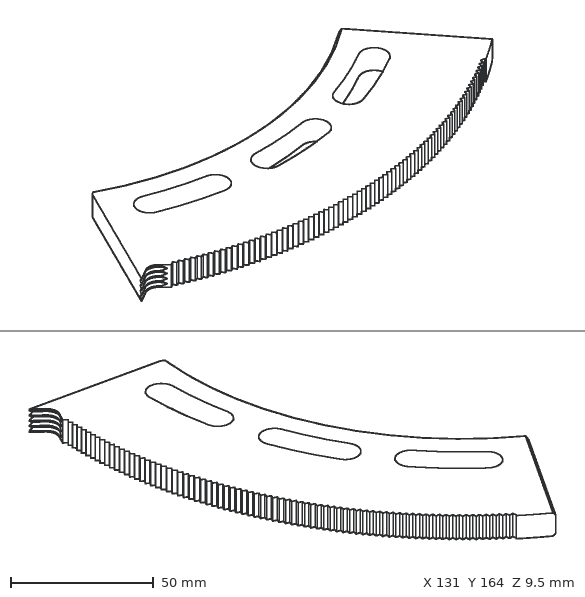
import cadquery as cq
import math

thickness = 9.5
sector_angle = 65.0
outer_radius = 181.0
inner_radius = 127.0
corner_radius = 3.0
edge_chamfer = 1.0

slot_width = 11.2
slot_path_radius = 142.4
slot_span = 10.7
slot_pitch = 20.2
slot_count = 3

tooth_count = 76
tooth_start = 4.0
tooth_end = 60.6
tooth_depth = 1.1
crest_drop = 0.5

throat_radius = 4.8
throat_x = 183.5
throat_y = 7.0
flank_slope = 32.0

groove_count = 4
groove_pitch = 2.1
groove_width = 2.0
groove_depth = 0.74


def polar(radius, degrees, centre=(0, 0)):
    angle = math.radians(degrees)
    return (centre[0] + radius * math.cos(angle), centre[1] + radius * math.sin(angle))


throat_centre = (throat_x, throat_y)
first_crest = polar(outer_radius, tooth_start)
crest_dx = first_crest[0] - throat_x
crest_dy = first_crest[1] - throat_y
crest_bearing = math.degrees(math.atan2(crest_dy, crest_dx))
tangent_turn = math.degrees(math.acos(throat_radius / math.hypot(crest_dx, crest_dy)))
throat_top_angle = crest_bearing + tangent_turn
throat_end_angle = 270.0 - flank_slope
throat_top = polar(throat_radius, throat_top_angle, throat_centre)
throat_middle = polar(throat_radius, (throat_top_angle + throat_end_angle) / 2, throat_centre)
throat_end = polar(throat_radius, throat_end_angle, throat_centre)
flank_length = throat_end[1] / math.sin(math.radians(flank_slope))
hook_tip = polar(flank_length, -flank_slope, throat_end)


def sector_plate():
    crest_radius = outer_radius - crest_drop
    tooth_step = (tooth_end - tooth_start) / tooth_count
    outline = (
        cq.Workplane("XY")
        .moveTo(inner_radius, 0)
        .lineTo(*hook_tip)
        .lineTo(*throat_end)
        .threePointArc(throat_middle, throat_top)
        .lineTo(*first_crest)
    )
    for tooth in range(tooth_count):
        root_angle = tooth_start + (tooth + 0.5) * tooth_step
        crest_angle = tooth_start + (tooth + 1) * tooth_step
        outline = outline.lineTo(*polar(crest_radius - tooth_depth, root_angle))
        outline = outline.lineTo(*polar(crest_radius, crest_angle))
    return (
        outline
        .lineTo(*polar(outer_radius, tooth_end))
        .threePointArc(
            polar(outer_radius, (tooth_end + sector_angle) / 2),
            polar(outer_radius, sector_angle),
        )
        .lineTo(*polar(inner_radius, sector_angle))
        .threePointArc(polar(inner_radius, sector_angle / 2), (inner_radius, 0))
        .close()
        .extrude(thickness)
    )


def round_inner_corners(plate):
    for angle in (0, sector_angle):
        corner_middle = (*polar(inner_radius, angle), thickness / 2)
        plate = plate.edges(cq.selectors.NearestToPointSelector(corner_middle)).fillet(corner_radius)
    return plate


def chamfer_rim(plate):
    arc_middle = polar(inner_radius, sector_angle / 2)
    end_middle = polar((inner_radius + outer_radius) / 2, sector_angle)
    for z in (0, thickness):
        arc_edge = cq.selectors.NearestToPointSelector((*arc_middle, z))
        end_edge = cq.selectors.NearestToPointSelector((*end_middle, z))
        plate = plate.edges(cq.selectors.SumSelector(arc_edge, end_edge)).chamfer(edge_chamfer)
    return plate


def curved_slot(middle_angle):
    inner = slot_path_radius - slot_width / 2
    outer = slot_path_radius + slot_width / 2
    low = middle_angle - slot_span / 2
    high = middle_angle + slot_span / 2
    end_bulge = math.degrees(math.atan(slot_width / 2 / slot_path_radius))
    bulge_radius = math.hypot(slot_path_radius, slot_width / 2)
    return (
        cq.Workplane("XY")
        .moveTo(*polar(inner, low))
        .threePointArc(polar(bulge_radius, low - end_bulge), polar(outer, low))
        .threePointArc(polar(outer, middle_angle), polar(outer, high))
        .threePointArc(polar(bulge_radius, high + end_bulge), polar(inner, high))
        .threePointArc(polar(inner, middle_angle), polar(inner, low))
        .close()
        .extrude(thickness)
    )


def grip_groove(z):
    half = groove_width / 2
    across_flank = cq.Plane(
        origin=(*throat_end, z),
        xDir=(*polar(1, throat_end_angle), 0),
        normal=(*polar(1, -flank_slope), 0),
    )
    section = [(0, -half), (groove_depth, 0), (0, half)]
    along_flank = cq.Workplane(across_flank).polyline(section).close().extrude(2 * flank_length)
    around_throat = (
        cq.Workplane("XZ", origin=(*throat_centre, z))
        .polyline([(throat_radius + depth, height) for depth, height in section])
        .close()
        .revolve(360, (0, 0, 0), (0, 1, 0))
    )
    return along_flank.union(around_throat)


plate = sector_plate()
result = round_inner_corners(plate).intersect(chamfer_rim(plate))
for slot in range(slot_count):
    slot_offset = slot - (slot_count - 1) / 2
    result = result.cut(curved_slot(sector_angle / 2 + slot_offset * slot_pitch))
for groove in range(groove_count):
    groove_offset = groove - (groove_count - 1) / 2
    result = result.cut(grip_groove(thickness / 2 + groove_offset * groove_pitch))